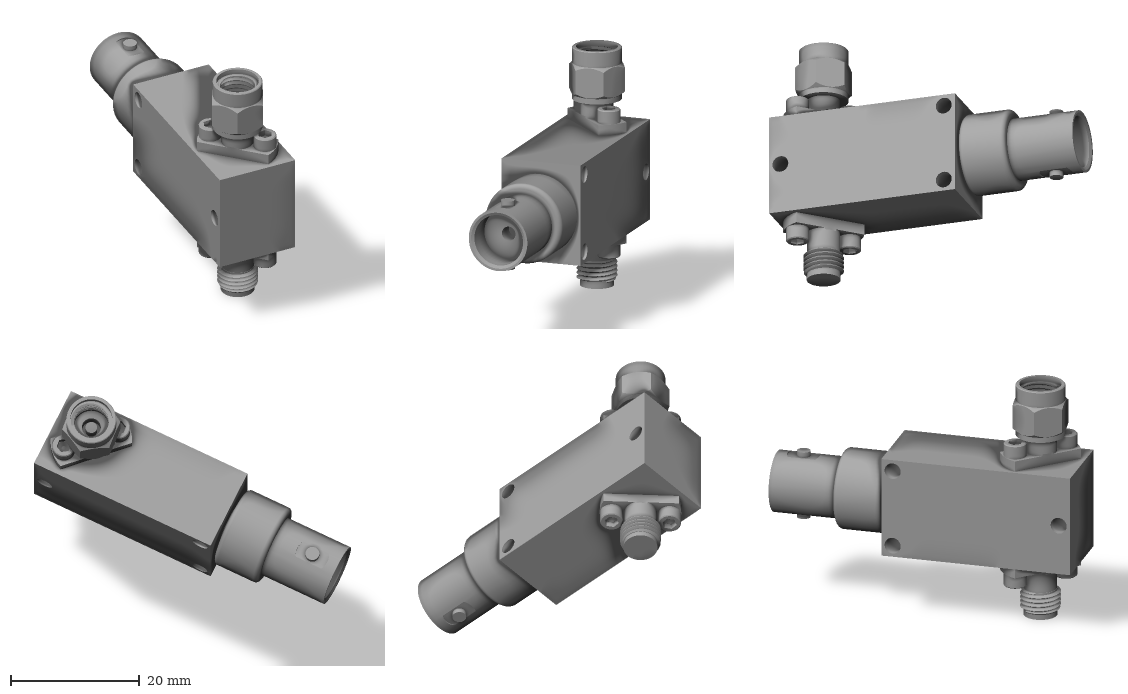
import cadquery as cq
import math


TOTAL_LENGTH = 49.33
TOTAL_HEIGHT = 38.38

BLOCK_LENGTH = 30.58
BLOCK_WIDTH = 13.08
BLOCK_HEIGHT = 16.1
MOUNT_HOLE_D = 2.6
MOUNT_HOLE_INSET = 1.84

BAYONET_LENGTH = TOTAL_LENGTH - BLOCK_LENGTH
TUBE_D = 9.76
TUBE_MOUTH_D = 9.0
TUBE_BORE_D = 8.1
TUBE_MOUTH_CHAMFER = 0.3
TUBE_BORE_DEPTH = 4.65
TUBE_FLOOR_X = TUBE_BORE_DEPTH - BAYONET_LENGTH
COLLAR_D = 12.8
COLLAR_LENGTH = 7.6
COLLAR_FILLET = 0.7
NECK_D = 7.0
NECK_LENGTH = 0.4
LUG_D = 2.15
LUG_SPAN = 11.05
LUG_FROM_BLOCK = 14.45
LUG_SEAT_D = 5.2
LUG_SEAT_WIDTH = 2.72
CONTACT_D = 4.64
CONTACT_BORE_D = 2.25
CONTACT_BORE_DEPTH = 3.0

PORT_X = 23.95
PORT_Y = -0.2
FLANGE_ANGLE = 45
FLANGE_ROUND_D = 12.7
FLANGE_WIDTH = 4.8
FLANGE_THICKNESS = 1.7
TRIMMED_NECK_HEIGHT = 0.3
TRIMMED_NECK_TOP = FLANGE_THICKNESS + TRIMMED_NECK_HEIGHT
PORT_NECK_D = 5.15
SCREW_SPACING = 9.02
SCREW_HEAD_D = 3.56
SCREW_HEAD_HEIGHT = 2.15
SCREW_HEAD_CHAMFER = 0.15
SOCKET_ACROSS_FLATS = 1.98
SOCKET_TURN = 35
SOCKET_HEX_DEPTH = 1.0
SOCKET_TAPER_DEPTH = 0.4
SOCKET_BOTTOM_D = 0.7

THREAD_D = 6.35
THREAD_PITCH = 25.4 / 36
THREAD_DEPTH = 0.45
THREAD_OVERLAP = 0.05
THREAD_BASE_WIDTH = 0.9 * THREAD_PITCH
THREAD_TIP_WIDTH = 0.12 * THREAD_PITCH

JACK_HEIGHT = 9.5
JACK_TIP_D = 5.3
JACK_THREAD_START = 5.05
JACK_THREAD_END = 8.65

NUT_BOTTOM = 4.4
NUT_TOP = TOTAL_HEIGHT - BLOCK_HEIGHT - JACK_HEIGHT
NUT_D = 7.75
NUT_RIM_CHAMFER = 0.12
HEX_BOTTOM = 5.25
HEX_TOP = 10.25
HEX_ACROSS_FLATS = 7.92
HEX_TURN = 33.7
HEX_CHAMFER_HEIGHT = 0.62
NUT_RELIEF_D = 6.6
NUT_RELIEF_DEPTH = 0.85
NUT_FLOOR_DEPTH = 4.15
NUT_FLOOR_Z = NUT_TOP - NUT_FLOOR_DEPTH
NUT_END_RELIEF = 0.4
PLUG_TIP_D = 4.52
PLUG_GROOVE_OUTER_D = 2.96
PLUG_GROOVE_INNER_D = 1.8
PLUG_GROOVE_DEPTH = 2.0


def cylinder(diameter, bottom, top):
    return cq.Workplane("XY").workplane(offset=bottom).circle(diameter / 2).extrude(top - bottom)


def cylinder_along_x(diameter, start, end):
    return cq.Workplane("YZ").workplane(offset=start).circle(diameter / 2).extrude(end - start)


def across_corners(across_flats):
    return across_flats / math.cos(math.pi / 6)


def hexagonal_prism(across_flats, turn, bottom, top):
    """Hexagon about Z, with one corner turned by the given angle from the X axis."""
    outline = cq.Workplane("XY").workplane(offset=bottom).polygon(6, across_corners(across_flats))
    return outline.extrude(top - bottom).rotate((0, 0, 0), (0, 0, 1), turn)


def helical_ridge(base_d, tip_d, start, end):
    """A V-shaped ridge wound up the Z axis, from its base diameter to its tip diameter."""
    path = cq.Wire.makeHelix(THREAD_PITCH, end - start, base_d / 2)
    half_base = THREAD_BASE_WIDTH / 2
    half_tip = THREAD_TIP_WIDTH / 2
    profile = [
        (base_d / 2, -half_base),
        (tip_d / 2, -half_tip),
        (tip_d / 2, half_tip),
        (base_d / 2, half_base),
    ]
    ridge = cq.Workplane("XZ").polyline(profile).close().sweep(cq.Workplane(path), isFrenet=True)
    return ridge.translate((0, 0, start))


def make_block():
    block = cq.Workplane("XY").box(BLOCK_LENGTH, BLOCK_WIDTH, BLOCK_HEIGHT)
    block = block.translate((BLOCK_LENGTH / 2, 0, 0))
    corner_z = BLOCK_HEIGHT / 2 - MOUNT_HOLE_INSET
    hole_places = [
        (MOUNT_HOLE_INSET, corner_z),
        (MOUNT_HOLE_INSET, -corner_z),
        (BLOCK_LENGTH - MOUNT_HOLE_INSET, 0),
    ]
    holes = cq.Workplane("XZ").pushPoints(hole_places).circle(MOUNT_HOLE_D / 2)
    return block.cut(holes.extrude(BLOCK_WIDTH, both=True))


def make_bayonet_shell():
    collar_start = -NECK_LENGTH - COLLAR_LENGTH
    shell = cylinder_along_x(COLLAR_D, collar_start, -NECK_LENGTH).edges().fillet(COLLAR_FILLET)
    shell = shell.union(cylinder_along_x(NECK_D, -NECK_LENGTH, 0))
    tube = cylinder_along_x(TUBE_D, -BAYONET_LENGTH, collar_start)

    seat_z = math.sqrt(TUBE_D**2 - LUG_SEAT_WIDTH**2) / 2
    lug_axis = cq.Workplane("XY").center(-LUG_FROM_BLOCK, 0)
    for side in (1, -1):
        seat_cut = lug_axis.workplane(offset=side * seat_z).circle(LUG_SEAT_D / 2).extrude(side * TUBE_D)
        tube = tube.cut(seat_cut)
    shell = shell.union(tube)
    shell = shell.union(lug_axis.circle(LUG_D / 2).extrude(LUG_SPAN / 2, both=True))

    bore_profile = [
        (-BAYONET_LENGTH, 0),
        (-BAYONET_LENGTH, TUBE_MOUTH_D / 2),
        (-BAYONET_LENGTH + TUBE_MOUTH_CHAMFER, TUBE_BORE_D / 2),
        (TUBE_FLOOR_X, TUBE_BORE_D / 2),
        (TUBE_FLOOR_X, 0),
    ]
    bore = cq.Workplane("XZ").polyline(bore_profile).close().revolve(360, (0, 0), (1, 0))
    contact_hole = cylinder_along_x(CONTACT_D, TUBE_FLOOR_X, 0)
    return shell.cut(bore).cut(contact_hole)


def make_contact():
    """Central insert, flush with the floor of the tube."""
    contact = cylinder_along_x(CONTACT_D, TUBE_FLOOR_X, 0)
    return contact.cut(cylinder_along_x(CONTACT_BORE_D, TUBE_FLOOR_X, TUBE_FLOOR_X + CONTACT_BORE_DEPTH))


def make_flange():
    """Round-ended flange plus the foot of the neck, trimmed to the flange width."""
    flange = cylinder(FLANGE_ROUND_D, 0, FLANGE_THICKNESS)
    flange = flange.union(cylinder(PORT_NECK_D, 0, TRIMMED_NECK_TOP))
    width_limit = cq.Workplane("XY").rect(FLANGE_ROUND_D, FLANGE_WIDTH).extrude(TRIMMED_NECK_TOP)
    return flange.intersect(width_limit).rotate((0, 0, 0), (0, 0, 1), FLANGE_ANGLE)


def make_plug():
    plug = make_flange().union(cylinder(PORT_NECK_D, TRIMMED_NECK_TOP, NUT_BOTTOM))
    plug = plug.union(cylinder(PLUG_TIP_D, NUT_BOTTOM, NUT_FLOOR_Z))
    groove = cylinder(PLUG_GROOVE_OUTER_D, NUT_FLOOR_Z - PLUG_GROOVE_DEPTH, NUT_FLOOR_Z)
    groove = groove.cut(cylinder(PLUG_GROOVE_INNER_D, NUT_FLOOR_Z - PLUG_GROOVE_DEPTH, NUT_FLOOR_Z))
    return plug.cut(groove)


def make_nut():
    nut = cylinder(NUT_D, NUT_BOTTOM, NUT_TOP).faces(">Z").edges().chamfer(NUT_RIM_CHAMFER)
    hexagon = hexagonal_prism(HEX_ACROSS_FLATS, HEX_TURN, HEX_BOTTOM, HEX_TOP)
    corner_d = across_corners(HEX_ACROSS_FLATS)
    corner_trim = cylinder(corner_d, HEX_BOTTOM, HEX_TOP).edges()
    corner_trim = corner_trim.chamfer(HEX_CHAMFER_HEIGHT, (corner_d - NUT_D) / 2)
    nut = nut.union(hexagon.intersect(corner_trim))

    mouth_bottom = NUT_TOP - NUT_RELIEF_DEPTH
    minor_d = THREAD_D - 2 * THREAD_DEPTH
    nut = nut.cut(cylinder(PLUG_TIP_D, NUT_BOTTOM, NUT_FLOOR_Z))
    nut = nut.cut(cylinder(minor_d, NUT_FLOOR_Z, mouth_bottom))
    nut = nut.cut(cylinder(NUT_RELIEF_D, mouth_bottom, NUT_TOP))
    groove = helical_ridge(minor_d - THREAD_OVERLAP, THREAD_D, NUT_FLOOR_Z + NUT_END_RELIEF, mouth_bottom)
    return nut.cut(groove)


def make_jack():
    jack = make_flange().union(cylinder(PORT_NECK_D, TRIMMED_NECK_TOP, JACK_THREAD_START))
    jack = jack.union(cylinder(JACK_TIP_D, JACK_THREAD_START, JACK_HEIGHT))
    ridge = helical_ridge(JACK_TIP_D - THREAD_OVERLAP, THREAD_D, JACK_THREAD_START, JACK_THREAD_END)
    ridge_limit = cylinder(THREAD_D, JACK_THREAD_START, JACK_THREAD_END)
    ridge_limit = ridge_limit.edges().chamfer(THREAD_DEPTH)
    return jack.union(ridge.intersect(ridge_limit))


def make_screw():
    """Cap screw head resting on the flange, with a hexagon socket that ends in a taper."""
    top = FLANGE_THICKNESS + SCREW_HEAD_HEIGHT
    head = cylinder(SCREW_HEAD_D, FLANGE_THICKNESS, top)
    head = head.faces(">Z").edges().chamfer(SCREW_HEAD_CHAMFER)
    hexagon = hexagonal_prism(SOCKET_ACROSS_FLATS, SOCKET_TURN, top - SOCKET_HEX_DEPTH, top)
    taper = cq.Workplane("XY").workplane(offset=top - SOCKET_HEX_DEPTH).circle(SOCKET_ACROSS_FLATS / 2)
    taper = taper.workplane(offset=-SOCKET_TAPER_DEPTH).circle(SOCKET_BOTTOM_D / 2).loft(ruled=True)
    return head.cut(hexagon).cut(taper)


def on_top(body):
    return body.translate((PORT_X, PORT_Y, BLOCK_HEIGHT / 2))


def on_bottom(body):
    turned = body.rotate((0, 0, 0), (1, -1, 0), 180)
    return turned.translate((PORT_X, PORT_Y, -BLOCK_HEIGHT / 2))


screws = []
for side in (1, -1):
    reach = side * SCREW_SPACING / 2
    angle = math.radians(FLANGE_ANGLE)
    screw = make_screw().translate((reach * math.cos(angle), reach * math.sin(angle), 0))
    screws.append(on_top(screw).solids().val())
    screws.append(on_bottom(screw).solids().val())

bodies = [
    make_block(),
    make_bayonet_shell(),
    make_contact(),
    on_top(make_plug()),
    on_top(make_nut()),
    on_bottom(make_jack()),
]

result = cq.Compound.makeCompound([body.solids().val() for body in bodies] + screws)